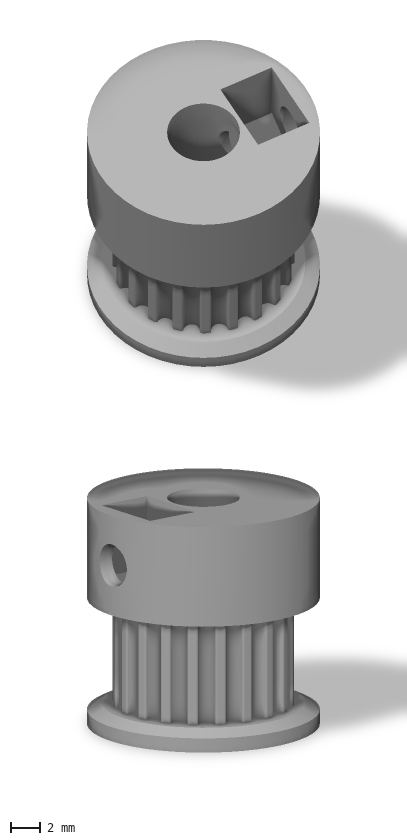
import cadquery as cq
import math

outer_diameter = 16.0
total_height = 16.0
bore_diameter = 5.0

flange_rim_height = 1.0
flange_height = 1.5
flange_top_diameter = 14.0

tooth_count = 20
tooth_tip_diameter = 12.5
groove_depth = 0.72
groove_width = 1.15
tooth_edge_radius = 0.16
tip_tolerance = 0.002

head_height = 7.07
screw_diameter = 3.0
nut_width = 5.44
nut_slot_length = 4.0
nut_slot_start = 2.78

outer_radius = outer_diameter / 2
tooth_tip_radius = tooth_tip_diameter / 2
head_bottom = total_height - head_height
screw_height = total_height - head_height / 2


def make_flange():
    """Disc whose upper edge slopes in to a smaller flat top."""
    return (
        cq.Workplane("XZ")
        .moveTo(0, 0)
        .lineTo(outer_radius, 0)
        .lineTo(outer_radius, flange_rim_height)
        .lineTo(flange_top_diameter / 2, flange_height)
        .lineTo(0, flange_height)
        .close()
        .revolve(360, (0, 0, 0), (0, 1, 0))
    )


def make_toothed_section():
    """Cylinder with straight-sided, round-bottomed belt grooves and softened tooth edges."""
    length = head_bottom - flange_height
    half_width = groove_width / 2
    root_radius = tooth_tip_radius - groove_depth
    arc_center = root_radius + half_width

    groove = (
        cq.Workplane("XY")
        .moveTo(outer_radius, -half_width)
        .lineTo(arc_center, -half_width)
        .threePointArc((root_radius, 0), (arc_center, half_width))
        .lineTo(outer_radius, half_width)
        .close()
        .extrude(length)
    )
    section = cq.Workplane("XY").circle(tooth_tip_radius).extrude(length)
    for index in range(tooth_count):
        angle = index * 360 / tooth_count
        section = section.cut(groove.rotate((0, 0, 0), (0, 0, 1), angle))

    tip_edges = section.edges("|Z").filter(
        lambda edge: math.hypot(edge.Center().x, edge.Center().y) > tooth_tip_radius - tip_tolerance
    )
    section = tip_edges.fillet(tooth_edge_radius)
    return section.translate((0, 0, flange_height))


def make_head():
    """Plain cylinder above the teeth."""
    return cq.Workplane("XY", origin=(0, 0, head_bottom)).circle(outer_radius).extrude(head_height)


def make_bore():
    """Shaft hole through the full height."""
    return cq.Workplane("XY").circle(bore_diameter / 2).extrude(total_height)


def make_screw_hole():
    """Radial hole from the bore out through the +Y side of the head."""
    return (
        cq.Workplane("XZ", origin=(0, 0, screw_height))
        .circle(screw_diameter / 2)
        .extrude(-outer_radius)
    )


def make_nut_slot():
    """Slot open at the top whose V-shaped floor holds a corner of a hexagonal nut."""
    half_width = nut_width / 2
    half_side = half_width / math.sqrt(3)
    return (
        cq.Workplane("XZ", origin=(0, nut_slot_start, 0))
        .moveTo(0, screw_height - 2 * half_side)
        .lineTo(half_width, screw_height - half_side)
        .lineTo(half_width, total_height)
        .lineTo(-half_width, total_height)
        .lineTo(-half_width, screw_height - half_side)
        .close()
        .extrude(-nut_slot_length)
    )


result = (
    make_flange()
    .union(make_toothed_section())
    .union(make_head())
    .cut(make_bore())
    .cut(make_screw_hole())
    .cut(make_nut_slot())
)